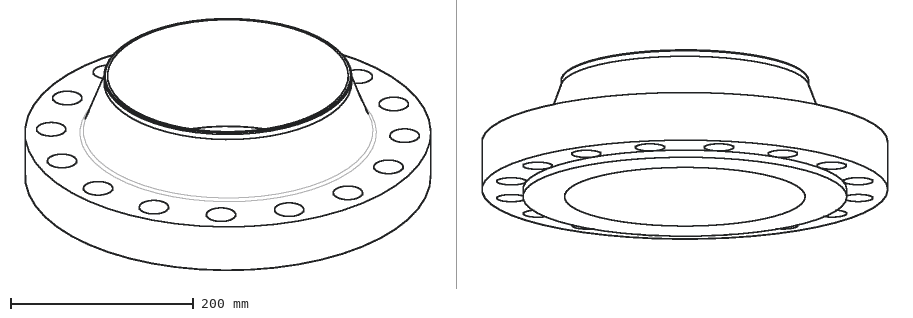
import cadquery as cq

flange_diameter = 444.5
total_height = 132.0

face_diameter = 354.5
face_height = 8.0

flange_thickness = 53.8
bolt_circle_diameter = 387.0
bolt_hole_diameter = 32.0
bolt_count = 16

hub_base_diameter = 319.0
neck_diameter = 271.5
neck_height = 7.5
foot_fillet_radius = 4.0
rim_chamfer = 1.5

bore_diameter = 263.5

flange_top = face_height + flange_thickness
taper_top = total_height - neck_height


def make_flange():
    """Flange plate standing on its raised sealing face."""
    face = cq.Workplane("XY").circle(face_diameter / 2).extrude(face_height)
    plate = (
        cq.Workplane("XY")
        .workplane(offset=face_height)
        .circle(flange_diameter / 2)
        .extrude(flange_thickness)
    )
    return face.union(plate)


def make_hub():
    """Cone and weld neck on top of the flange, with a chamfered rim."""
    hub = (
        cq.Workplane("XZ")
        .moveTo(0, flange_top)
        .lineTo(hub_base_diameter / 2, flange_top)
        .lineTo(neck_diameter / 2, taper_top)
        .lineTo(neck_diameter / 2, total_height)
        .lineTo(0, total_height)
        .close()
        .revolve(360, (0, 0, 0), (0, 1, 0))
    )
    return hub.faces(">Z").edges().chamfer(rim_chamfer)


def round_hub_foot(body):
    """Fillet the inner corner where the cone meets the flange."""
    flange_top_face = body.faces("|Z").faces(">Z[2]")
    foot_edge = flange_top_face.edges(cq.selectors.RadiusNthSelector(0))
    return foot_edge.fillet(foot_fillet_radius)


def make_bolt_holes():
    """Cutters for the bolt holes, the first one on the +X axis."""
    return (
        cq.Workplane("XY")
        .polarArray(bolt_circle_diameter / 2, 0, 360, bolt_count)
        .circle(bolt_hole_diameter / 2)
        .extrude(flange_top)
    )


def make_bore():
    """Cutter for the bore along the full height."""
    return cq.Workplane("XY").circle(bore_diameter / 2).extrude(total_height)


body = round_hub_foot(make_flange().union(make_hub()))
result = body.cut(make_bolt_holes()).cut(make_bore())